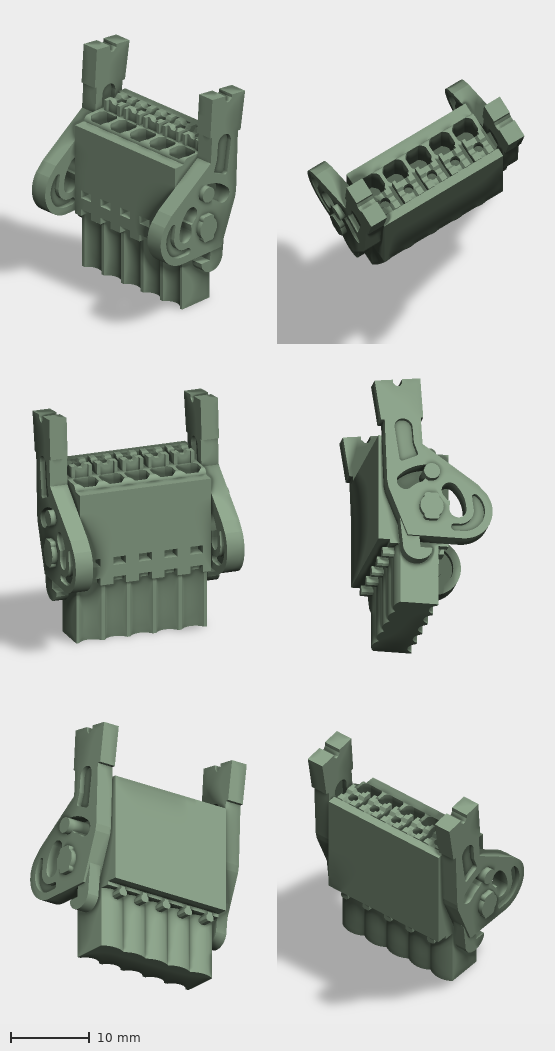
import cadquery as cq
import math


pole_count = 5
pole_pitch = 3.5
pole_positions = [(i - (pole_count - 1) / 2) * pole_pitch for i in range(pole_count)]

total_height = 29.6
housing_width = 17.85
housing_half = housing_width / 2
front_y = -2.78
back_y = 6.3
ledge_z = 20.42
deck_z = 21.15
deck_front_y = -1.15
deck_radius = deck_z - ledge_z
back_wall_y = 5.12
back_wall_top_z = 22.45
body_bottom_z = 7.93
back_step_y = 4.8
back_bottom_z = 8.4

plug_front_y = -1.48
plug_back_y = 4.0
rib_depth = 0.55
flute_width = 3.02
flute_radius = 1.78

key_back_y = 5.47
key_width = 1.18
key_neck_width = 0.6
key_shoulder_z = 7.7
key_side_top_z = 7.37
key_side_bottom_z = 6.95
key_bottom_z = 6.72

window_width = 1.75
window_bottom_z = 10.47
window_height = 1.07
window_depth = 1.78
notch_height = 0.95

entry_offset = 0.1
entry_positions = [x + entry_offset for x in pole_positions]
wire_hole_radius = 1.65
wire_hole_y = 0.4
wire_hole_half_width = 1.5
wire_hole_front_y = -1.05
wire_hole_back_y = 1.83
wire_hole_depth = 5.92

actuator_width = 2.8
actuator_front_y = wire_hole_back_y
actuator_top_z = 22.65
actuator_bottom_z = 17.75
actuator_recess_width = 1.9
actuator_recess_depth = 0.45
recess_floor_z = 20.98
cross_y = 3.6
cross_top_width = 1.2
cross_floor_width = 0.53
cross_depth = 0.4
screw_hole_radius = 0.65
screw_hole_depth = 1.78

pivot_z = 12.13
lever_gap = 0.2
lever_thickness = 2.37
lever_inner_x = housing_half + lever_gap
lever_center_x = lever_inner_x + lever_thickness / 2
pocket_depth = 0.68
hook_thickness = 1.65

pivot_radius = 1.5
stop_pin_radius = 1.05
stop_pin_distance = 4.73
overall_width = 24.4
pin_end_x = overall_width / 2
pivot_key_width = 1.95
pivot_key_height = 3.55
pivot_key_fillet = 0.45

slot_half_width = 1.1
slot_sweep = 45
lobe_slot_distance = 3.5
snap_height = 0.33
stop_slot_angles = (0, 17.7, 10.9, 5)
lobe_slot_angles = (-90, -61, -66, -86)

lobe_center_y = -4.08
lobe_radius = 3.9
grip_pocket_fillet = 0.35
hook_root_z = -1.48
hook_catch_z = -5.35
grip_step_z = 12.13
grip_back_step_z = 11.5


def box(x_mid, width, y_front, y_back, z_low, z_high):
    """Box centred on x_mid in X and spanning the given Y and Z limits."""
    return (
        cq.Workplane("XY")
        .box(width, y_back - y_front, z_high - z_low, centered=(True, False, False))
        .translate((x_mid, y_front, z_low))
    )


def polar(radius, angle):
    """Point at an angle, in degrees, about the pivot; 0 is up and positive leans to +Y."""
    return (radius * math.sin(math.radians(angle)), radius * math.cos(math.radians(angle)))


def extrude_across(sketch, thickness):
    """Extrude a YZ sketch by thickness, centred on X = 0."""
    return sketch.extrude(thickness / 2, both=True)


def make_body():
    """Upper body: side profile with the rounded deck, the back wall and the stepped bottom."""
    deck_round_mid = deck_radius * math.sqrt(0.5)
    profile = (
        cq.Workplane("YZ")
        .moveTo(front_y, body_bottom_z)
        .lineTo(front_y, ledge_z)
        .lineTo(deck_front_y, ledge_z)
        .threePointArc(
            (deck_front_y + deck_radius - deck_round_mid, ledge_z + deck_round_mid),
            (deck_front_y + deck_radius, deck_z),
        )
        .lineTo(back_wall_y, deck_z)
        .lineTo(back_wall_y, back_wall_top_z)
        .lineTo(back_y, back_wall_top_z)
        .lineTo(back_y, back_bottom_z)
        .lineTo(back_step_y, back_bottom_z)
        .lineTo(back_step_y, body_bottom_z)
        .close()
    )
    return extrude_across(profile, housing_width)


def make_plug():
    """Plug with one convex rib per pole on the back and one concave flute per pole in front."""
    rib_edge_y = plug_back_y - rib_depth
    rib_width = housing_width / pole_count
    outline = cq.Workplane("XY").moveTo(-housing_half, plug_front_y).lineTo(-housing_half, rib_edge_y)
    for i in range(pole_count):
        rib_start_x = -housing_half + i * rib_width
        outline = outline.threePointArc(
            (rib_start_x + rib_width / 2, plug_back_y), (rib_start_x + rib_width, rib_edge_y)
        )
    plug = outline.lineTo(housing_half, plug_front_y).close().extrude(body_bottom_z)
    flute_offset = math.sqrt(flute_radius**2 - (flute_width / 2) ** 2)
    for x in pole_positions:
        flute = (
            cq.Workplane("XY", origin=(x, plug_front_y - flute_offset, 0))
            .circle(flute_radius)
            .extrude(body_bottom_z)
        )
        plug = plug.cut(flute)
    return plug


def make_coding_key(x):
    """Necked key with sloping flanks that stands out behind the plug, just under the body."""
    right_side = [
        (key_neck_width / 2, key_bottom_z),
        (key_width / 2, key_side_bottom_z),
        (key_width / 2, key_side_top_z),
        (key_neck_width / 2, key_shoulder_z),
        (key_neck_width / 2, body_bottom_z),
    ]
    left_side = [(-side_x, side_z) for side_x, side_z in reversed(right_side)]
    return (
        cq.Workplane("XZ", origin=(x, key_back_y, 0))
        .polyline(right_side + left_side)
        .close()
        .extrude(key_back_y - (plug_back_y - rib_depth))
    )


def make_wire_hole(x):
    """Round wire entry with flats on all four sides."""
    hole_bottom_z = deck_z - wire_hole_depth
    round_hole = (
        cq.Workplane("XY", origin=(x, wire_hole_y, hole_bottom_z))
        .circle(wire_hole_radius)
        .extrude(wire_hole_depth)
    )
    flats = box(
        x, 2 * wire_hole_half_width, wire_hole_front_y, wire_hole_back_y, hole_bottom_z, deck_z
    )
    return round_hole.intersect(flats)


def make_lever_bosses():
    """Pivot with its retaining key and stop pin, on both ends of the housing."""
    pin_length = pin_end_x - housing_half
    lever_outer_x = lever_inner_x + lever_thickness
    end_plane = cq.Workplane("YZ", origin=(housing_half, 0, pivot_z))
    pivot = end_plane.circle(pivot_radius).extrude(pin_length)
    stop_pin = end_plane.center(0, stop_pin_distance).circle(stop_pin_radius).extrude(pin_length)
    key = (
        cq.Workplane("YZ", origin=(lever_outer_x, 0, pivot_z))
        .rect(pivot_key_width, pivot_key_height)
        .extrude(pin_end_x - lever_outer_x)
        .edges("|X")
        .fillet(pivot_key_fillet)
    )
    bosses = pivot.union(key).union(stop_pin)
    return bosses.union(bosses.mirror("YZ"))


def make_housing():
    housing = make_body().union(make_plug()).union(make_lever_bosses())
    for x in entry_positions:
        housing = housing.cut(make_wire_hole(x))
        housing = housing.cut(make_actuator_block(x))
        housing = housing.cut(make_recess(x, recess_floor_z))
    for x in pole_positions:
        housing = housing.union(make_coding_key(x))
        housing = housing.cut(
            box(
                x, window_width, front_y, front_y + window_depth,
                window_bottom_z, window_bottom_z + window_height,
            )
        )
        housing = housing.cut(
            box(
                x, window_width, front_y, plug_front_y,
                body_bottom_z, body_bottom_z + notch_height,
            )
        )
    return housing


def make_recess(x, floor_z):
    """Space in front of the actuator, from floor_z up to its top."""
    return box(
        x, actuator_recess_width, actuator_front_y, actuator_front_y + actuator_recess_depth,
        floor_z, actuator_top_z,
    )


def make_actuator_block(x):
    """Plain actuator block with the recess in its front, which also shapes its pocket."""
    block = box(
        x, actuator_width, actuator_front_y, back_wall_y, actuator_bottom_z, actuator_top_z
    )
    return block.cut(make_recess(x, actuator_bottom_z))


def make_cross_groove(plane):
    """Groove with sloping sides along the normal of the plane, its top at Z = 0."""
    groove = (
        cq.Workplane(plane)
        .polyline([
            (-cross_top_width / 2, 0),
            (-cross_floor_width / 2, -cross_depth),
            (cross_floor_width / 2, -cross_depth),
            (cross_top_width / 2, 0),
        ])
        .close()
    )
    return groove.extrude(pole_pitch, both=True)


def make_actuator(x):
    """Actuator with a cross recess and a round hole in its top."""
    cross_center = (x, cross_y, actuator_top_z)
    screw_hole = (
        cq.Workplane("XY", origin=cross_center).circle(screw_hole_radius).extrude(-screw_hole_depth)
    )
    return (
        make_actuator_block(x)
        .cut(make_cross_groove("XZ").translate(cross_center))
        .cut(make_cross_groove("YZ").translate(cross_center))
        .cut(screw_hole)
    )


def make_lever_plate():
    """Full-thickness lever outline: notched grip, waist and rounded lobe."""
    lobe_start = (-7.22, 2.35)
    grip_top = total_height - pivot_z
    outline = (
        cq.Workplane("YZ")
        .moveTo(3.0, -lobe_radius)
        .lineTo(lobe_center_y, -lobe_radius)
        .threePointArc((lobe_center_y - lobe_radius, 0), lobe_start)
        .lineTo(-6.05, 3.58)
        .lineTo(1.1, 8.55)
        .lineTo(1.33, grip_step_z)
        .lineTo(1.0, grip_step_z)
        .lineTo(1.4, grip_top)
        .lineTo(3.75, 17.15)
        .lineTo(3.75, 16.63)
        .lineTo(4.05, 16.2)
        .lineTo(4.47, 16.2)
        .lineTo(4.95, 16.57)
        .lineTo(4.95, 17.0)
        .lineTo(7.3, 16.72)
        .lineTo(6.48, grip_back_step_z)
        .lineTo(6.0, grip_back_step_z)
        .lineTo(5.68, 3.3)
        .lineTo(5.5, 2.37)
        .close()
    )
    return extrude_across(outline, lever_thickness)


def make_hook():
    """Thinner hook that hangs below the lever plate."""
    outline = (
        cq.Workplane("YZ")
        .moveTo(3.97, hook_root_z)
        .lineTo(3.52, -5.55)
        .threePointArc((1.72, -7.0), (-0.15, -5.98))
        .lineTo(-0.25, hook_catch_z)
        .lineTo(1.3, hook_catch_z)
        .lineTo(1.42, -lobe_radius)
        .lineTo(1.42, hook_root_z)
        .close()
    )
    return extrude_across(outline, hook_thickness)


def make_arc_slot(distance, start_angle, snap_start, snap_peak, snap_end):
    """Through slot on an arc about the pivot, with a snap bump on its inner edge."""
    end_angle = start_angle + slot_sweep
    mid_angle = start_angle + slot_sweep / 2
    inner = distance - slot_half_width
    outer = distance + slot_half_width
    arc_band = (
        cq.Workplane("YZ")
        .moveTo(*polar(inner, start_angle))
        .threePointArc(polar(inner, mid_angle), polar(inner, end_angle))
        .lineTo(*polar(outer, end_angle))
        .threePointArc(polar(outer, mid_angle), polar(outer, start_angle))
        .close()
    )
    slot = extrude_across(arc_band, lever_thickness)
    for angle in (start_angle, end_angle):
        round_end = cq.Workplane("YZ").center(*polar(distance, angle)).circle(slot_half_width)
        slot = slot.union(extrude_across(round_end, lever_thickness))
    bump = (
        cq.Workplane("YZ")
        .polyline([
            polar(inner - snap_height, snap_start),
            polar(inner, snap_start),
            polar(inner + snap_height, snap_peak),
            polar(inner, snap_end),
            polar(inner - snap_height, snap_end),
        ])
        .close()
    )
    return slot.cut(extrude_across(bump, lever_thickness))


def make_grip_pocket():
    """Tapered pocket below the grip, round at its upper end."""
    outline = (
        cq.Workplane("YZ")
        .moveTo(4.73, 10.65)
        .lineTo(4.02, 5.95)
        .lineTo(1.6, 7.0)
        .lineTo(2.22, 8.67)
        .lineTo(2.4, 10.77)
        .threePointArc((3.58, 11.85), (4.73, 10.65))
        .close()
    )
    pocket = outline.extrude(pocket_depth)
    return pocket.edges("|X and (<Z or <Y)").fillet(grip_pocket_fillet)


def make_lobe_pocket():
    """Crescent pocket that follows the rounded lobe."""
    outline = (
        cq.Workplane("YZ")
        .moveTo(-5.3, 1.98)
        .threePointArc((-5.65, 2.22), (-6.0, 2.13))
        .threePointArc((-6.75, -1.18), (-4.05, -2.9))
        .lineTo(-3.08, -2.9)
        .threePointArc((-2.6, -2.43), (-3.08, -1.95))
        .lineTo(-3.88, -1.95)
        .threePointArc((-5.05, -1.3), (-5.55, 0))
        .close()
    )
    return outline.extrude(pocket_depth)


def make_lever():
    """Lever centred on X = 0 with the pivot at the origin; both its sides are alike."""
    lever = make_lever_plate().union(make_hook())
    pivot_hole = extrude_across(cq.Workplane("YZ").circle(pivot_radius), lever_thickness)
    lever = lever.cut(pivot_hole)
    lever = lever.cut(make_arc_slot(stop_pin_distance, *stop_slot_angles))
    lever = lever.cut(make_arc_slot(lobe_slot_distance, *lobe_slot_angles))
    for pocket in (make_grip_pocket(), make_lobe_pocket()):
        outer_pocket = pocket.translate((-lever_thickness / 2, 0, 0))
        lever = lever.cut(outer_pocket).cut(outer_pocket.mirror("YZ"))
    return lever


housing = make_housing()
actuators = [make_actuator(x) for x in entry_positions]
levers = [make_lever().translate((side * lever_center_x, 0, pivot_z)) for side in (-1, 1)]

result = cq.Compound.makeCompound([
    housing.val(),
    *[actuator.val() for actuator in actuators],
    *[lever.val() for lever in levers],
])